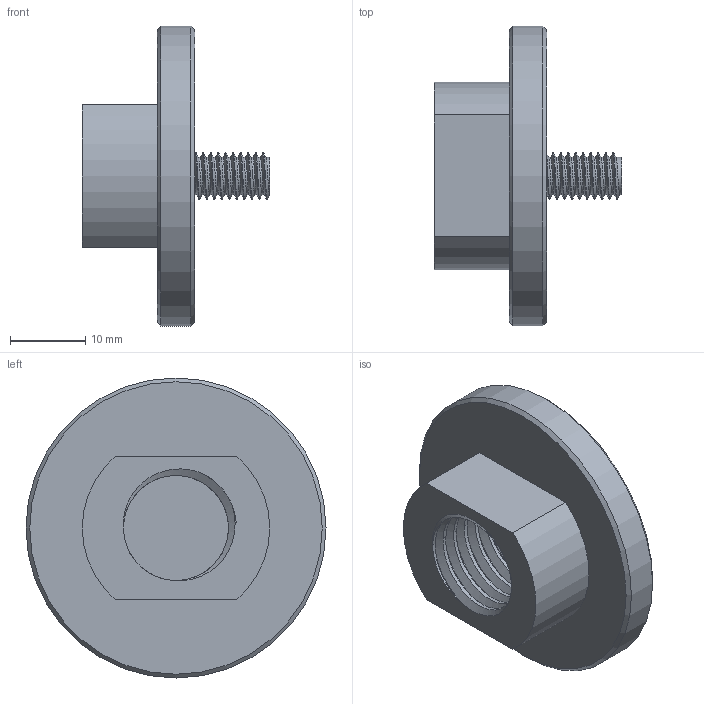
import cadquery as cq

flange_diameter = 40.0
flange_thickness = 5.0
flange_chamfer = 0.5

boss_diameter = 25.0
boss_length = 10.0
boss_across_flats = 19.0

bore_minor_diameter = 14.0
bore_major_diameter = 16.15
bore_pitch = 2.0
bore_depth = 12.0
bore_root_flat = bore_pitch / 8
bore_groove_width = 1.5
bore_groove_offset = 0.75
bore_cutter_extra_turns = 2

stud_core_diameter = 5.0
stud_major_diameter = 6.2
stud_length = 10.0
stud_pitch = 1.0
stud_ridge_width = 0.73
stud_crest_flat = 0.08
stud_turns = 10
stud_thread_end_gap = 0.38

base_overlap = 0.02


def along_x(body, x_start):
    """Lay a body built up along Z along X instead, its base moved to x_start."""
    return body.rotate((0, 0, 0), (0, 1, 0), 90).translate((x_start, 0, 0))


def helical_tooth(base_radius, tip_radius, base_width, tip_flat, pitch, turns):
    """Right-handed helical tooth pointing outwards, starting on the +X side and climbing from z = 0."""
    flank_slope = (base_width - tip_flat) / 2 / (tip_radius - base_radius)
    inner_radius = base_radius - base_overlap
    half_inner = base_width / 2 + base_overlap * flank_slope
    half_tip = tip_flat / 2
    helix = cq.Wire.makeHelix(pitch, pitch * turns, base_radius)
    return (
        cq.Workplane("XZ")
        .polyline([
            (inner_radius, -half_inner),
            (tip_radius, -half_tip),
            (tip_radius, half_tip),
            (inner_radius, half_inner),
        ])
        .close()
        .sweep(cq.Workplane(obj=helix), isFrenet=True)
    )


def make_flange():
    disc = cq.Workplane("YZ").circle(flange_diameter / 2).extrude(flange_thickness)
    return disc.edges("%CIRCLE").chamfer(flange_chamfer)


def make_bore_cutter():
    """Threaded rod cut square at the mouth and at the floor of the bore."""
    mouth_x = -boss_length
    groove_start_x = mouth_x + bore_groove_offset - bore_cutter_extra_turns * bore_pitch
    turns = bore_depth / bore_pitch + 2 * bore_cutter_extra_turns
    groove = helical_tooth(bore_minor_diameter / 2, bore_major_diameter / 2,
                           bore_groove_width, bore_root_flat, bore_pitch, turns)
    rod_end_margin = bore_pitch
    rod_start_x = groove_start_x - rod_end_margin
    rod_length = turns * bore_pitch + 2 * rod_end_margin
    rod = (
        cq.Workplane("YZ", origin=(rod_start_x, 0, 0))
        .circle(bore_minor_diameter / 2)
        .extrude(rod_length)
    )
    limits = (
        cq.Workplane("YZ", origin=(mouth_x, 0, 0))
        .circle(bore_major_diameter)
        .extrude(bore_depth)
    )
    return rod.union(along_x(groove, groove_start_x)).intersect(limits)


def make_boss():
    cylinder = cq.Workplane("YZ").circle(boss_diameter / 2).extrude(-boss_length)
    flats = cq.Workplane("YZ").rect(boss_diameter, boss_across_flats).extrude(-boss_length)
    return cylinder.intersect(flats)


def make_stud():
    core = (
        cq.Workplane("YZ", origin=(flange_thickness, 0, 0))
        .circle(stud_core_diameter / 2)
        .extrude(stud_length)
    )
    ridge = helical_tooth(stud_core_diameter / 2, stud_major_diameter / 2,
                          stud_ridge_width, stud_crest_flat, stud_pitch, stud_turns)
    ridge_end_x = flange_thickness + stud_length - stud_thread_end_gap
    ridge_start_x = ridge_end_x - stud_pitch * stud_turns
    return core.union(along_x(ridge, ridge_start_x))


result = make_flange().union(make_boss()).cut(make_bore_cutter()).union(make_stud())